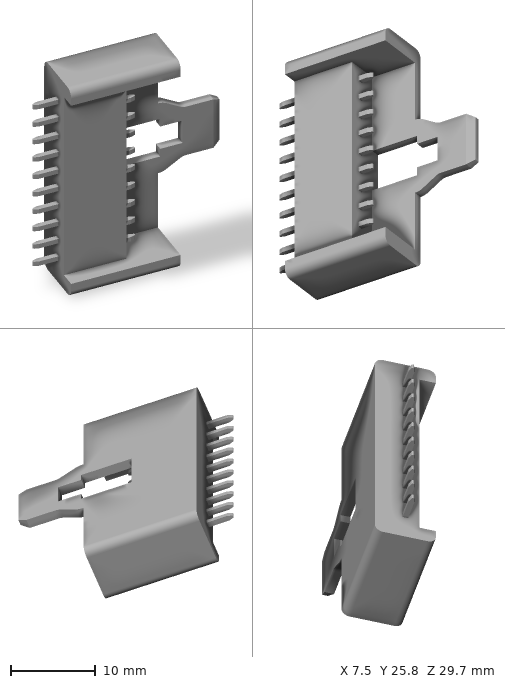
import cadquery as cq
import math


length = 29.7
width = 7.5
height = 14.3
corner_radius = 1.0
end_wall = 2.05
base_width = 5.5
wall = 1.2
cavity_depth = 6.1

tab_length = 8.25
tab_half_width = 3.47
tab_root_half_width = 5.02
flare_angle = math.radians(30)
root_radius = 2.25
neck_radius = 1.37
tip_chamfer_length = 1.0
tip_half_width = 2.9
tip_thickness = 0.7

window_half_width = 2.7
window_overhang = 0.3
slot_half_width = 1.6
slot_overhang = 3.2

pin_count = 10
pin_row_length = 22.5
pin_pitch = pin_row_length / (pin_count - 1)
pin_width = 0.68
pin_thickness = 0.62
pin_protrusion = 3.27
pin_recess = 4.22
pin_taper_angle = math.radians(18)
pin_nose_radius = 0.18

floor_y = height - cavity_depth
tab_end_y = height + tab_length
inner_length = length - 2 * end_wall


def make_housing():
    """Rounded block with a full-height recess on +X and a cavity open towards +X and +Y."""
    block = (
        cq.Workplane("XY")
        .box(width, height, length, centered=(False, False, True))
        .edges("|Y")
        .fillet(corner_radius)
    )
    recess = (
        cq.Workplane("XY")
        .box(width - base_width, height, inner_length, centered=(False, False, True))
        .translate((base_width, 0, 0))
    )
    cavity = (
        cq.Workplane("XY")
        .box(width - wall, cavity_depth, inner_length, centered=(False, False, True))
        .translate((wall, floor_y, 0))
    )
    return block.cut(recess).cut(cavity)


def make_tab():
    """Tab with a flared S-curve root and a tip bevelled on both flanks and on its inner face."""
    sine = math.sin(flare_angle)
    drop = 1 - math.cos(flare_angle)
    half_sine = math.sin(flare_angle / 2)
    half_drop = 1 - math.cos(flare_angle / 2)

    flank_drop = tab_root_half_width - tab_half_width - (root_radius + neck_radius) * drop
    flank_start_y = height + root_radius * sine
    flank_start_z = tab_root_half_width - root_radius * drop
    flank_end_y = flank_start_y + flank_drop / math.tan(flare_angle)
    flank_end_z = flank_start_z - flank_drop
    neck_y = flank_end_y + neck_radius * sine
    bevel_y = tab_end_y - tip_chamfer_length

    half_outline = (
        cq.Workplane("YZ")
        .moveTo(floor_y, 0)
        .lineTo(floor_y, tab_root_half_width)
        .lineTo(height, tab_root_half_width)
        .threePointArc(
            (height + root_radius * half_sine, tab_root_half_width - root_radius * half_drop),
            (flank_start_y, flank_start_z),
        )
        .lineTo(flank_end_y, flank_end_z)
        .threePointArc(
            (neck_y - neck_radius * half_sine, tab_half_width + neck_radius * half_drop),
            (neck_y, tab_half_width),
        )
        .lineTo(bevel_y, tab_half_width)
        .lineTo(tab_end_y, tip_half_width)
        .lineTo(tab_end_y, 0)
        .close()
        .extrude(wall)
    )
    bevel = (
        cq.Workplane("XY")
        .polyline([(wall, bevel_y), (wall, tab_end_y), (tip_thickness, tab_end_y)])
        .close()
        .extrude(tab_half_width, both=True)
    )
    return half_outline.union(half_outline.mirror("XY")).cut(bevel)


def make_window():
    """Stepped opening through the latch wall, starting at the cavity floor."""

    def opening(half_width, overhang):
        return (
            cq.Workplane("XY")
            .box(wall, cavity_depth + overhang, 2 * half_width, centered=(False, False, True))
            .translate((0, floor_y, 0))
        )

    return opening(window_half_width, window_overhang).union(opening(slot_half_width, slot_overhang))


def make_pin():
    """Flat-sided pin through the base, both ends tapering across X to a rounded nose."""
    pin_length = pin_protrusion + height - pin_recess
    pin_middle_y = (height - pin_recess - pin_protrusion) / 2
    half_length = pin_length / 2
    half_width = pin_width / 2

    nose_half_width = pin_nose_radius * math.cos(pin_taper_angle)
    nose_y = half_length - pin_nose_radius * (1 - math.sin(pin_taper_angle))
    shank_y = nose_y - (half_width - nose_half_width) / math.tan(pin_taper_angle)
    return (
        cq.Workplane("XY")
        .moveTo(half_width, -shank_y)
        .lineTo(half_width, shank_y)
        .lineTo(nose_half_width, nose_y)
        .threePointArc((0, half_length), (-nose_half_width, nose_y))
        .lineTo(-half_width, shank_y)
        .lineTo(-half_width, -shank_y)
        .lineTo(-nose_half_width, -nose_y)
        .threePointArc((0, -half_length), (nose_half_width, -nose_y))
        .close()
        .extrude(pin_thickness / 2, both=True)
        .translate((width / 2, pin_middle_y, 0))
    )


result = make_housing().union(make_tab()).cut(make_window())

pin = make_pin()
for index in range(pin_count):
    pin_z = index * pin_pitch - pin_row_length / 2
    result = result.union(pin.translate((0, 0, pin_z)))